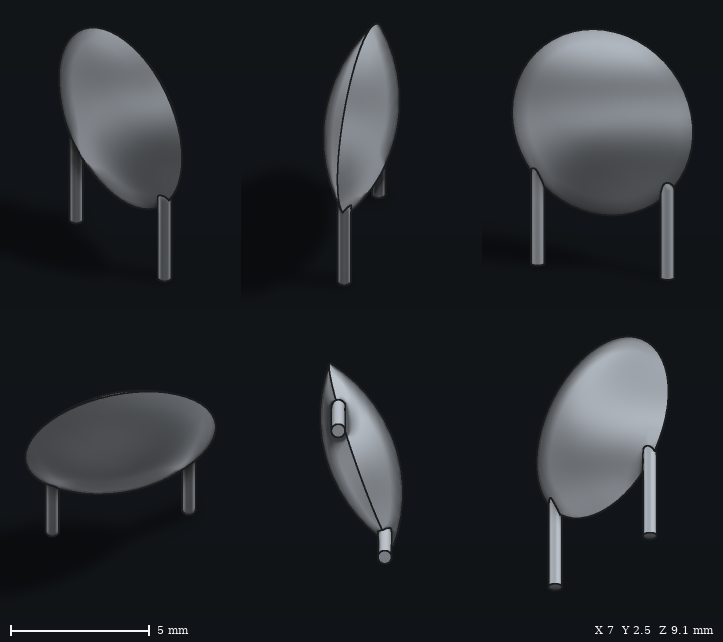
import cadquery as cq

disc_diameter = 7.0
disc_thickness = 2.5
disc_radius = disc_diameter / 2
half_thickness = disc_thickness / 2

total_height = 9.1
lead_diameter = 0.5
lead_spacing = 5.005
lead_length = 3.37
bend_radius = 0.5
bend_angle = 90
lead_radius = lead_diameter / 2
lead_bottom = disc_radius - total_height


def make_disc():
    """Revolve half of the lens section about the Y axis."""
    sphere_radius = (disc_radius**2 + half_thickness**2) / (2 * half_thickness)
    mid_x = disc_radius / 2
    mid_y = (sphere_radius**2 - mid_x**2) ** 0.5 - (sphere_radius - half_thickness)
    return (
        cq.Workplane("XY")
        .moveTo(0, -half_thickness)
        .threePointArc((mid_x, -mid_y), (disc_radius, 0))
        .threePointArc((mid_x, mid_y), (0, half_thickness))
        .close()
        .revolve(360, (0, 0), (0, 1))
    )


def make_lead(side):
    """Round lead that rises vertically, then bends inward inside the disc rim."""
    x = side * lead_spacing / 2
    bend_start = lead_bottom + lead_length
    rod = cq.Workplane("XY", origin=(x, 0, lead_bottom)).circle(lead_radius).extrude(lead_length)
    bend = (
        cq.Workplane("XY", origin=(x, 0, bend_start))
        .circle(lead_radius)
        .revolve(bend_angle, (-side * bend_radius, 0), (-side * bend_radius, -side))
    )
    return rod.union(bend)


result = make_disc()
for lead_side in (-1, 1):
    result = result.union(make_lead(lead_side))